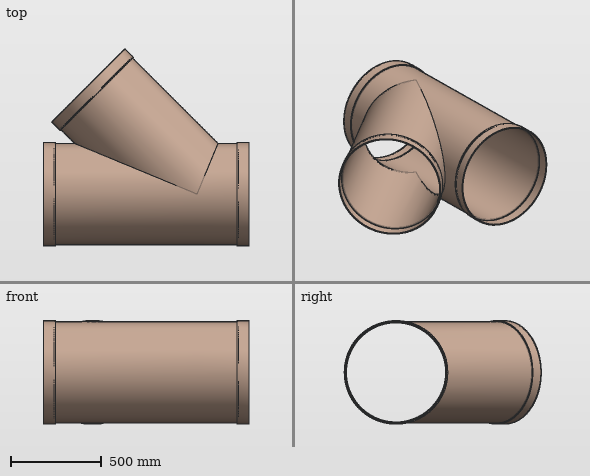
import cadquery as cq
import math


wall = 6.0
pipe_outer_diameter = 560.0
collar_length = 66.0
branch_angle = 45.0
long_arm = 848.0
short_arm = 288.0

pipe_outer_radius = pipe_outer_diameter / 2
pipe_inner_radius = pipe_outer_radius - wall
collar_outer_radius = pipe_outer_radius + wall
socket_radius = pipe_outer_radius
socket_depth = collar_length - wall

left_angle = 180.0
right_angle = 0.0
branch_arm_angle = left_angle - branch_angle


def revolve_arm(profile, arm_angle):
    """Revolve a half profile (along X, radius along Y) about X, then turn it around Z."""
    solid = profile.close().revolve(360, (0, 0, 0), (1, 0, 0))
    return solid.rotate((0, 0, 0), (0, 0, 1), arm_angle)


def arm_outside(length, arm_angle):
    """Outer shape of an arm: the pipe and its wider end collar."""
    collar_start = length - collar_length
    profile = (
        cq.Workplane("XY")
        .lineTo(0, pipe_outer_radius)
        .lineTo(collar_start, pipe_outer_radius)
        .lineTo(collar_start, collar_outer_radius)
        .lineTo(length, collar_outer_radius)
        .lineTo(length, 0)
    )
    return revolve_arm(profile, arm_angle)


def arm_inside(length, arm_angle):
    """Hollow of an arm: the bore, the rounded shoulder and the socket."""
    collar_start = length - collar_length
    socket_start = length - socket_depth
    arc_reach = wall / math.sqrt(2)
    profile = (
        cq.Workplane("XY")
        .lineTo(0, pipe_inner_radius)
        .lineTo(collar_start, pipe_inner_radius)
        .threePointArc(
            (collar_start + arc_reach, pipe_outer_radius - arc_reach),
            (socket_start, socket_radius),
        )
        .lineTo(length, socket_radius)
        .lineTo(length, 0)
    )
    return revolve_arm(profile, arm_angle)


run_outside = arm_outside(long_arm, left_angle).union(arm_outside(short_arm, right_angle))
run_inside = arm_inside(long_arm, left_angle).union(arm_inside(short_arm, right_angle))

result = (
    run_outside.union(arm_outside(long_arm, branch_arm_angle))
    .cut(run_inside)
    .cut(arm_inside(long_arm, branch_arm_angle))
)